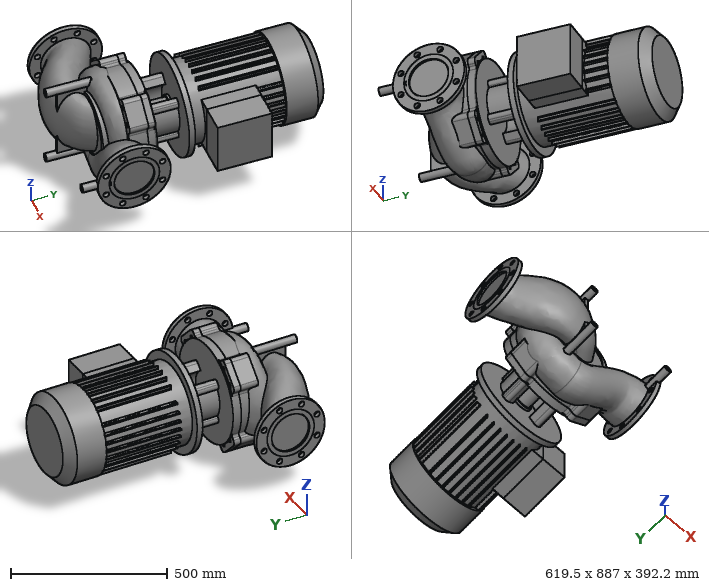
import cadquery as cq
import math


X_AXIS = cq.Vector(1, 0, 0)
Y_AXIS = cq.Vector(0, 1, 0)
OVERLAP = 9.0

MOTOR_END = 711.0
COWL_CHAMFER_START = 678.0
COWL_START = 571.0
FIN_START = 296.0
MOTOR_FLANGE_BACK = 250.0
MOTOR_FLANGE_FACE = 230.0
HUB_FACE = 221.0
COVER_TOP = 120.0
COVER_LOBE_TOP = 114.0
JOINT = 90.0
LOBE_BOTTOM = 26.0
VOLUTE_LEVEL = 19.5
SUCTION_FACE = -44.0
ROD_END = -176.0

COWL_RADIUS = 157.0
COWL_END_RADIUS = 121.0
BARREL_RADIUS = 144.0
FIN_TIP_RADIUS = 155.0
FIN_THICKNESS = 3.5
FIN_PITCH = 28.0
FINS_PER_SIDE = 7
MOTOR_FLANGE_RADIUS = 175.0
HUB_RADIUS = 36.0

BOX_OUTER_X = 251.0
BOX_HALF_WIDTH = 94.0
BOX_TOP = 483.0

BODY_RADIUS = 177.0
LOBE_REACH = 199.5
LOBE_HALF_WIDTH = 56.0
LOBE_CORNER_RADIUS = 16.0
LOBE_ROOT_RADIUS = 11.0
LOBE_HOLE_RADIUS = 8.0
LOBE_HOLE_REACH = 176.0
LOBE_HOLE_OFFSET = 27.5
LANTERN_RADIUS = 90.0
LANTERN_BORE_RADIUS = 69.0
RIB_REACH = 107.0
RIB_HALF_WIDTH = 17.0
RIB_CORNER_RADIUS = 13.0
CORNER_ANGLES = [45, 135, 225, 315]

SHAFT_RADIUS = 30.0

VOLUTE_INNER_RADIUS = 72.0
VOLUTE_START_TUBE = 43.5
VOLUTE_END_TUBE = 70.0
VOLUTE_END_ANGLE = 270
VOLUTE_STEP = 45
SUCTION_DISC_RADIUS = 119.0
SUCTION_RECESS_RADIUS = 102.0
SUCTION_RECESS_DEPTH = 3.0

FLANGE_RADIUS = 125.0
FLANGE_THICKNESS = 17.0
INLET_FACE_X = -340.5
OUTLET_FACE_X = 279.0
PIPE_RADIUS = 86.0
PIPE_BORE_RADIUS = 69.0
PIPE_BORE_DEPTH = 7.0
BOLT_CIRCLE_RADIUS = 105.0
BOLT_HOLE_RADIUS = 10.0
BOLT_COUNT = 8

ROD_RADIUS = 14.0
ROD_BORE_RADIUS = 8.0
FOOT_X = -55.0
FOOT_Z = 140.0
FOOT_ROD_TOP = -18.0
OUTLET_ROD_X = 264.0
OUTLET_ROD_TOP = -80.0
WEB_THICKNESS = 13.0
WEB_END = -137.0


def disc(radius, y_low, y_high, x=0, z=0):
    """Cylinder parallel to the motor axis between two levels."""
    return cq.Workplane(cq.Solid.makeCylinder(radius, y_high - y_low, cq.Vector(x, y_low, z), Y_AXIS))


def pipe_disc(radius, x_low, x_high, y=0, z=0):
    """Cylinder parallel to the pipe axis."""
    return cq.Workplane(cq.Solid.makeCylinder(radius, x_high - x_low, cq.Vector(x_low, y, z), X_AXIS))


def block(x_low, x_high, y_low, y_high, z_half):
    """Box that is symmetric about Z = 0."""
    size_x = x_high - x_low
    size_y = y_high - y_low
    return cq.Workplane("XY").box(size_x, size_y, 2 * z_half).translate(
        ((x_low + x_high) / 2, (y_low + y_high) / 2, 0)
    )


def corner_arm(reach, half_width, corner_radius, y_low, y_high, angle):
    """Bar from the motor axis out to a rounded end, turned about the axis."""
    arm = block(0, reach, y_low, y_high, half_width).edges(">X and |Y").fillet(corner_radius)
    return arm.rotate((0, 0, 0), (0, 1, 0), angle)


def section_wire(center, normal, half_width, half_height):
    """Closed elliptic or round pipe section; its height is along Z when the normal is level."""
    plane = cq.Plane(center, cq.Vector(0, 0, -1), normal)
    if half_width == half_height:
        return cq.Workplane(plane).circle(half_width).val()
    return cq.Workplane(plane).ellipse(half_height, half_width).val()


def tube_wire(center, normal, radius):
    """Round section with its start point toward +Y, for tubes that bend in the XZ plane."""
    return cq.Workplane(cq.Plane(center, Y_AXIS, normal)).circle(radius).val()


def loft(wires):
    return cq.Workplane(cq.Solid.makeLoft(wires))


def make_motor():
    cowl = disc(COWL_RADIUS, COWL_START, MOTOR_END)
    cowl = cowl.faces(">Y").chamfer(MOTOR_END - COWL_CHAMFER_START, COWL_RADIUS - COWL_END_RADIUS)
    barrel = disc(BARREL_RADIUS, MOTOR_FLANGE_BACK - OVERLAP, COWL_START + OVERLAP)
    flange = disc(MOTOR_FLANGE_RADIUS, MOTOR_FLANGE_FACE, MOTOR_FLANGE_BACK)
    hub = disc(HUB_RADIUS, HUB_FACE, MOTOR_FLANGE_FACE + OVERLAP)
    box_pad = block(0, COWL_RADIUS, FIN_START, BOX_TOP, BOX_HALF_WIDTH)
    motor = cowl.union(barrel).union(flange).union(hub)
    return motor.union(make_fins()).union(box_pad)


def make_fins():
    """Parallel plates through the barrel, upright and level, trimmed to a round outline."""
    fin_length = COWL_START - FIN_START + OVERLAP
    fin_middle = FIN_START + fin_length / 2
    half_span = FIN_PITCH * (FINS_PER_SIDE - 1) / 2
    upright = cq.Workplane("XY")
    for i in range(FINS_PER_SIDE):
        fin = cq.Workplane("XY").box(FIN_THICKNESS, fin_length, 2 * COWL_RADIUS)
        upright = upright.add(fin.translate((i * FIN_PITCH - half_span, fin_middle, 0)))
    level = upright.rotate((0, 0, 0), (0, 1, 0), 90)
    plates = upright.combine().union(level.combine())
    return plates.intersect(disc(FIN_TIP_RADIUS, FIN_START, FIN_START + fin_length))


def make_terminal_box():
    return block(COWL_RADIUS, BOX_OUTER_X, FIN_START, BOX_TOP, BOX_HALF_WIDTH)


class LobeRoots(cq.Selector):
    """Edges along the motor axis where a lobe meets the round plate."""

    def filter(self, edges):
        roots = []
        for edge in edges:
            start = edge.startPoint()
            along = abs(edge.endPoint().y - start.y)
            on_body = abs(math.hypot(start.x, start.z) - BODY_RADIUS) < 0.1
            diagonal_offset = abs(abs(start.x) - abs(start.z)) / math.sqrt(2)
            if along > 1.0 and on_body and abs(diagonal_offset - LOBE_HALF_WIDTH) < 0.1:
                roots.append(edge)
        return roots


def lobed_body(y_low, y_high):
    """Round plate with four rounded lobes blended into it and two bolt holes in each lobe."""
    body = disc(BODY_RADIUS, y_low, y_high)
    for angle in CORNER_ANGLES:
        arm = corner_arm(LOBE_REACH, LOBE_HALF_WIDTH, LOBE_CORNER_RADIUS, y_low, y_high, angle)
        body = body.union(arm)
    body = body.edges(LobeRoots()).fillet(LOBE_ROOT_RADIUS)
    for angle in CORNER_ANGLES:
        for offset in (-LOBE_HOLE_OFFSET, LOBE_HOLE_OFFSET):
            hole = disc(LOBE_HOLE_RADIUS, y_low, y_high, LOBE_HOLE_REACH, offset)
            body = body.cut(hole.rotate((0, 0, 0), (0, 1, 0), angle))
    return body


def make_cover():
    cover = lobed_body(JOINT, COVER_LOBE_TOP)
    cover = cover.union(disc(BODY_RADIUS, COVER_LOBE_TOP, COVER_TOP))
    return cover.union(make_lantern())


def make_lantern():
    """Tube on four ribs, opened above and below between the ribs."""
    tube = disc(LANTERN_RADIUS, COVER_TOP, MOTOR_FLANGE_FACE)
    lantern = tube.cut(make_windows())
    for angle in CORNER_ANGLES:
        rib = corner_arm(RIB_REACH, RIB_HALF_WIDTH, RIB_CORNER_RADIUS, COVER_TOP, MOTOR_FLANGE_FACE, angle)
        lantern = lantern.union(rib)
    return lantern.cut(disc(LANTERN_BORE_RADIUS, COVER_TOP, MOTOR_FLANGE_FACE))


def make_windows():
    """Wedges around +Z and -Z between the middles of the ribs."""
    depth = LANTERN_RADIUS
    outline = [(0, 0), (depth, depth), (-depth, depth)]
    wedge = cq.Workplane("XZ", origin=(0, MOTOR_FLANGE_FACE, 0)).polyline(outline).close()
    wedge = wedge.extrude(MOTOR_FLANGE_FACE - COVER_TOP)
    return wedge.union(wedge.mirror("XY"))


def make_shaft():
    return disc(SHAFT_RADIUS, COVER_TOP, HUB_FACE)


def make_volute():
    """Spiral tube around the motor axis, growing toward the outlet."""
    wires = []
    for angle in range(0, VOLUTE_END_ANGLE + 1, VOLUTE_STEP):
        tube = VOLUTE_START_TUBE + (VOLUTE_END_TUBE - VOLUTE_START_TUBE) * angle / VOLUTE_END_ANGLE
        ring = VOLUTE_INNER_RADIUS + tube
        turn = math.radians(angle)
        center = (ring * math.cos(turn), VOLUTE_LEVEL, ring * math.sin(turn))
        wires.append(tube_wire(center, cq.Vector(-math.sin(turn), 0, math.cos(turn)), tube))
    return loft(wires)


def make_outlet_pipe():
    """S-shaped pipe from the end of the volute up to the outlet flange."""
    tube = VOLUTE_END_TUBE
    neck_x = OUTLET_FACE_X - FLANGE_THICKNESS
    stations = [
        (0, VOLUTE_LEVEL, -VOLUTE_INNER_RADIUS - tube, 0, tube),
        (59.0, 12.0, -129.0, 25, tube),
        (135.0, 3.0, -58.0, 48, tube),
        (198.0, 2.0, -9.0, 18, 80.0),
        (neck_x, 0, 0, 0, PIPE_RADIUS),
    ]
    wires = []
    for x, y, z, climb, radius in stations:
        turn = math.radians(climb)
        wires.append(tube_wire((x, y, z), cq.Vector(math.cos(turn), 0, math.sin(turn)), radius))
    return loft(wires).union(pipe_disc(PIPE_RADIUS, neck_x, OUTLET_FACE_X))


def make_inlet_pipe():
    """Elbow that widens along Z, dips below the casing and turns up into its suction face."""
    neck_x = INLET_FACE_X + FLANGE_THICKNESS
    stations = [
        (neck_x, 0, 0, PIPE_RADIUS, PIPE_RADIUS),
        (-206.0, -55.0, -24, 77.0, 124.0),
        (-115.0, -88.0, 0, 71.0, 128.0),
        (-44.0, -73.0, 45, 63.0, 113.0),
        (-4.0, -29.0, 90, 71.0, 100.0),
    ]
    wires = []
    for x, y, heading, half_width, half_height in stations:
        turn = math.radians(heading)
        normal = cq.Vector(math.cos(turn), math.sin(turn), 0)
        wires.append(section_wire((x, y, 0), normal, half_width, half_height))
    return loft(wires).union(pipe_disc(PIPE_RADIUS, INLET_FACE_X, neck_x))


def make_casing():
    recess_level = SUCTION_FACE + SUCTION_RECESS_DEPTH
    suction_disc = disc(SUCTION_DISC_RADIUS, SUCTION_FACE, JOINT)
    suction_disc = suction_disc.cut(disc(SUCTION_RECESS_RADIUS, SUCTION_FACE, recess_level))
    web = block(
        FOOT_X - WEB_THICKNESS / 2, FOOT_X + WEB_THICKNESS / 2, WEB_END, FOOT_ROD_TOP, FOOT_Z
    )
    casing = lobed_body(LOBE_BOTTOM, JOINT).union(suction_disc).union(make_volute())
    casing = casing.union(make_outlet_pipe()).union(make_inlet_pipe()).union(web)
    inlet_bore = pipe_disc(PIPE_BORE_RADIUS, INLET_FACE_X, INLET_FACE_X + PIPE_BORE_DEPTH)
    outlet_bore = pipe_disc(PIPE_BORE_RADIUS, OUTLET_FACE_X - PIPE_BORE_DEPTH, OUTLET_FACE_X)
    return casing.cut(inlet_bore).cut(outlet_bore)


def make_pipe_flange(x_low):
    """Ring around the end of a pipe, with bolt holes straddling the centre lines."""
    x_high = x_low + FLANGE_THICKNESS
    flange = pipe_disc(FLANGE_RADIUS, x_low, x_high).cut(pipe_disc(PIPE_RADIUS, x_low, x_high))
    for i in range(BOLT_COUNT):
        turn = 2 * math.pi * (i + 0.5) / BOLT_COUNT
        y = BOLT_CIRCLE_RADIUS * math.cos(turn)
        z = BOLT_CIRCLE_RADIUS * math.sin(turn)
        flange = flange.cut(pipe_disc(BOLT_HOLE_RADIUS, x_low, x_high, y, z))
    return flange


ROD_PLACES = [
    (FOOT_X, FOOT_Z, FOOT_ROD_TOP),
    (FOOT_X, -FOOT_Z, FOOT_ROD_TOP),
    (OUTLET_ROD_X, 0, OUTLET_ROD_TOP),
]


def make_rod(x, z, top):
    """Hollow round rod."""
    return disc(ROD_RADIUS, ROD_END, top, x, z).cut(disc(ROD_BORE_RADIUS, ROD_END, top, x, z))


motor = make_motor()
terminal_box = make_terminal_box()
cover = make_cover()
shaft = make_shaft()
casing = make_casing()
inlet_flange = make_pipe_flange(INLET_FACE_X)
outlet_flange = make_pipe_flange(OUTLET_FACE_X - FLANGE_THICKNESS)
rods = []
for x, z, top in ROD_PLACES:
    seat = disc(ROD_RADIUS, ROD_END, top, x, z)
    casing = casing.cut(seat)
    outlet_flange = outlet_flange.cut(seat)
    rods.append(make_rod(x, z, top))

result = cq.Compound.makeCompound(
    [
        motor.val(),
        terminal_box.val(),
        cover.val(),
        shaft.val(),
        casing.val(),
        inlet_flange.val(),
        outlet_flange.val(),
        *[rod.val() for rod in rods],
    ]
)